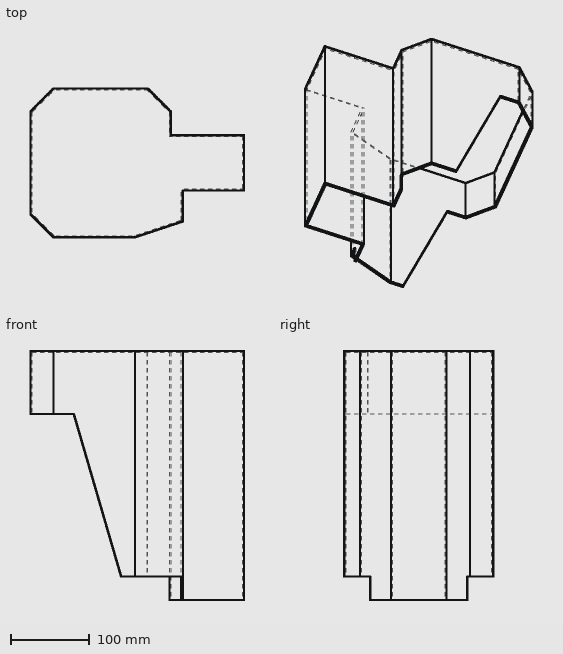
import cadquery as cq

length = 271.0
width = 189.0
height = 316.0
sheet = 2.05

corner = 29.5
head_back_x = 178.2
head_front_x = 193.5
neck_y_min = 59.5
neck_y_max = 130.0
slant_start_x = 132.5
slant_end_y = 20.2

hood_depth = 80.3
hood_z = height - hood_depth
side_wall_z = 29.7
slope_top_x = 55.0
slope_bottom_x = 115.0
tab_y_min = 33.0
tab_y_max = width - tab_y_min


def plan_outline():
    """Closed outline of the head and neck, at the bottom plane."""
    return cq.Workplane("XY").polyline([
        (corner, 0),
        (slant_start_x, 0),
        (head_front_x, slant_end_y),
        (head_front_x, neck_y_min),
        (length, neck_y_min),
        (length, neck_y_max),
        (head_back_x, neck_y_max),
        (head_back_x, width - corner),
        (head_back_x - corner, width),
        (corner, width),
        (0, width - corner),
        (0, corner),
    ]).close()


def open_bottom_shell():
    """Thin walls around the outline, closed by the top plate."""
    outside = plan_outline().extrude(height)
    cavity = plan_outline().offset2D(-sheet, "intersection").extrude(height - sheet)
    return outside.cut(cavity)


def sloped_opening():
    """Space under the hood, bounded by the sloping edges of both side walls."""
    return (
        cq.Workplane("XZ")
        .polyline([
            (0, 0),
            (slope_bottom_x, 0),
            (slope_bottom_x, side_wall_z),
            (slope_top_x, hood_z),
            (0, hood_z),
        ])
        .close()
        .extrude(-width)
    )


def edge_trim(y_min, y_max):
    """Block that raises the lower edge of one side wall."""
    return cq.Workplane("XY").box(length, y_max - y_min, side_wall_z, centered=False).translate((0, y_min, 0))


result = (
    open_bottom_shell()
    .cut(sloped_opening())
    .cut(edge_trim(0, tab_y_min))
    .cut(edge_trim(tab_y_max, width))
)